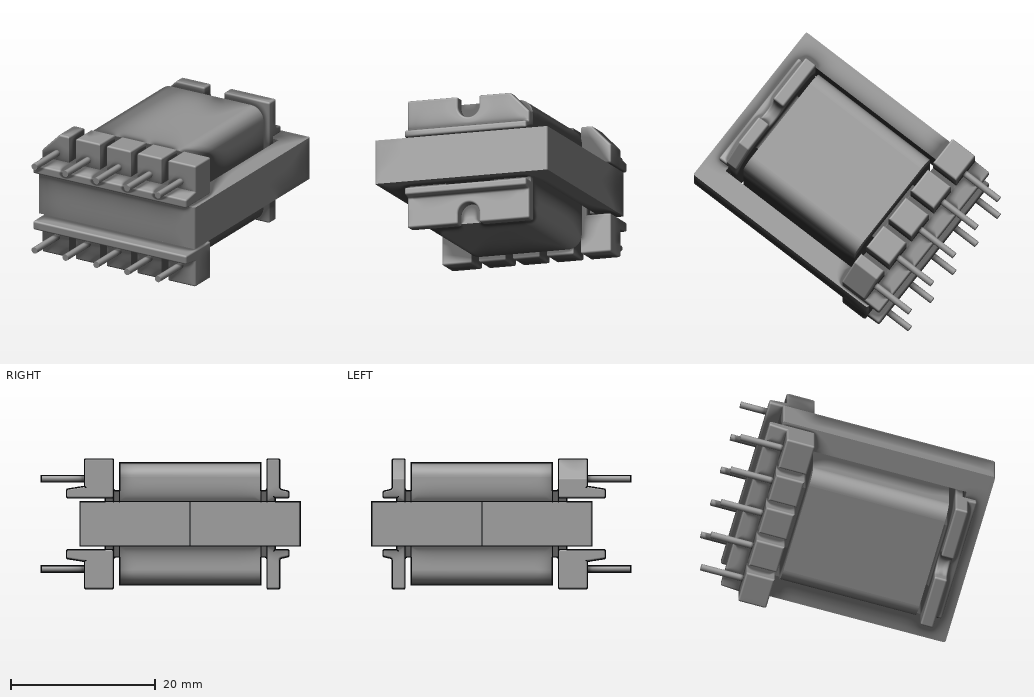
import cadquery as cq

edge_radius = 0.27
part_height = 18.0
half_height = part_height / 2

core_width = 25.4
core_height = 6.15
core_half_length = 15.25
leg_width = 3.15
yoke_thickness = 3.23
post_width = core_height

bore_half = 3.55
tube_half = 4.6
winding_half_width = 8.5
winding_half_height = 8.45
winding_half_length = 9.75
winding_radius = 2.0
flange_inner = 10.58
collar_end = 11.75
collar_half_width = 8.95
collar_overlap = 1.08

end_outer = 12.4
end_rail_tip = 13.65
end_rail_root_height = 4.8
end_rail_tip_height = 4.5
notch_radius = 1.58
notch_straight = 1.35

pin_bar_half_width = 12.45
pin_bar_outer = 14.63
pin_rail_tip = 17.1
pin_rail_root_height = 5.2
pin_rail_tip_height = 4.8
groove_width = 1.1
corner_cut = 2.8

pin_count = 5
pin_row_length = 20.0
pin_pitch = pin_row_length / (pin_count - 1)
pin_radius = 0.45
pin_height = 6.25
pin_tip = 20.6
pin_embed = 1.8

part_length = core_half_length + pin_tip
select_margin = 0.05
tube_overlap = 0.35


def centred_box(half_x, y_start, y_end, half_z):
    """Box centred on the Y axis between two Y positions."""
    return cq.Workplane("XY").box(
        2 * half_x, y_end - y_start, 2 * half_z, centered=(True, False, True)
    ).translate((0, y_start, 0))


def row_positions(count):
    """X positions of `count` items at the pin pitch, centred on X = 0."""
    return [(index - (count - 1) / 2) * pin_pitch for index in range(count)]


def core_half():
    """E-shaped half core on the +Y side of the joint."""
    outer = centred_box(core_width / 2, 0, core_half_length, core_height / 2)
    outer = outer.faces(">Y").edges("|Z").fillet(edge_radius)
    yoke_face = core_half_length - yoke_thickness
    window = centred_box(core_width / 2 - leg_width, 0, yoke_face, core_height)
    post = centred_box(post_width / 2, 0, yoke_face, core_height / 2)
    return outer.cut(window).union(post)


def rail_bar(half_width, outer, rail_tip, root_height, tip_height):
    """Bar on the +Z side with a sloping rail along its outer foot, drawn towards +Y."""
    return (
        cq.Workplane("YZ")
        .polyline([
            (flange_inner, bore_half),
            (rail_tip, bore_half),
            (rail_tip, tip_height),
            (outer, root_height),
            (outer, half_height),
            (flange_inner, half_height),
        ])
        .close()
        .extrude(half_width, both=True)
    )


def cut_first_pin_corner(bar, half_width):
    """Remove the 45 degree corner at -X, +Z."""
    corner = (
        cq.Workplane("XZ")
        .polyline([
            (-half_width, half_height),
            (-half_width + corner_cut, half_height),
            (-half_width, half_height - corner_cut),
        ])
        .close()
        .extrude(part_length, both=True)
    )
    return bar.cut(corner)


def collar(outer_edges_rounded):
    """Square frame of a flange inside the core window, drawn towards +Y."""
    frame = centred_box(collar_half_width, flange_inner, collar_end, bore_half + collar_overlap)
    edges = "|Z" if outer_edges_rounded else "|Z and <Y"
    return frame.edges(edges).fillet(edge_radius)


def end_bar(first_pin_side):
    """Bar of the end flange, with a rounded wire notch in the middle."""
    bar = rail_bar(
        collar_half_width, end_outer, end_rail_tip, end_rail_root_height, end_rail_tip_height
    )
    if first_pin_side:
        bar = cut_first_pin_corner(bar, collar_half_width)
    notch_centre = half_height - notch_straight
    notch = (
        cq.Workplane("XZ")
        .moveTo(-notch_radius, half_height)
        .lineTo(-notch_radius, notch_centre)
        .threePointArc((0, notch_centre - notch_radius), (notch_radius, notch_centre))
        .lineTo(notch_radius, half_height)
        .close()
        .extrude(-end_rail_tip)
    )
    return bar.cut(notch).edges().fillet(edge_radius)


def pin_bar(first_pin_side):
    """Bar of the pin flange, split into one block per pin by wire grooves."""
    bar = rail_bar(
        pin_bar_half_width, pin_bar_outer, pin_rail_tip, pin_rail_root_height, pin_rail_tip_height
    ).mirror("XZ")
    if first_pin_side:
        bar = cut_first_pin_corner(bar, pin_bar_half_width)
    groove_positions = row_positions(pin_count - 1)
    for groove_x in groove_positions:
        groove = cq.Workplane("XY").box(
            groove_width, 2 * pin_rail_tip, half_height, centered=(True, True, False)
        ).translate((groove_x, 0, pin_rail_root_height))
        bar = bar.cut(groove)

    groove_reach = groove_positions[-1] + groove_width / 2 + select_margin
    foot_reach = pin_bar_half_width - select_margin
    floor = pin_rail_root_height - select_margin
    outer_y = -pin_bar_outer - select_margin
    groove_edges = cq.selectors.BoxSelector(
        (-groove_reach, outer_y, floor),
        (groove_reach, -flange_inner + select_margin, half_height - select_margin),
    )
    foot_edges = cq.selectors.BoxSelector(
        (-foot_reach, outer_y, floor),
        (foot_reach, -pin_bar_outer + select_margin, pin_rail_root_height + select_margin),
    )
    every_edge = cq.selectors.BoxSelector(
        (-part_length, -part_length, -part_length), (part_length, part_length, part_length)
    )
    return bar.edges(every_edge - groove_edges - foot_edges).fillet(edge_radius)


def pin(x):
    """Round pin on the +Z side, standing out of the bar towards -Y."""
    return (
        cq.Workplane("XZ", origin=(x, -pin_bar_outer + pin_embed, pin_height))
        .circle(pin_radius)
        .extrude(pin_tip - pin_bar_outer + pin_embed)
    )


def round_tube_corners(bobbin):
    """Round the inner corners where the tube meets the two flanges."""
    reach = tube_half + select_margin
    for side in (-1, 1):
        y = side * flange_inner
        around_tube = cq.selectors.BoxSelector(
            (-reach, y - select_margin, -reach), (reach, y + select_margin, reach)
        )
        bobbin = bobbin.edges(around_tube).fillet(edge_radius)
    return bobbin


def bobbin_half(first_pin_side):
    """Both bars and the row of pins on the +Z side of the bobbin."""
    half = end_bar(first_pin_side).union(pin_bar(first_pin_side))
    for pin_x in row_positions(pin_count):
        half = half.union(pin(pin_x))
    return half


def wound_bobbin():
    """Bobbin with its winding and pins as one solid."""
    tube_end = flange_inner + tube_overlap
    body = centred_box(tube_half, -tube_end, tube_end, tube_half)
    body = body.union(collar(outer_edges_rounded=True))
    body = body.union(collar(outer_edges_rounded=False).mirror("XZ"))
    body = body.union(bobbin_half(first_pin_side=True))
    body = body.union(bobbin_half(first_pin_side=False).mirror("XY"))
    body = round_tube_corners(body)
    winding = (
        cq.Workplane("XZ", origin=(0, winding_half_length, 0))
        .rect(2 * winding_half_width, 2 * winding_half_height)
        .extrude(2 * winding_half_length)
        .edges("|Y")
        .fillet(winding_radius)
    )
    bore = centred_box(bore_half, -core_half_length, core_half_length, bore_half)
    return body.union(winding).cut(bore)


core_back = core_half()
core_front = core_back.mirror("XZ")
bobbin = wound_bobbin()

result = cq.Compound.makeCompound([core_back.val(), core_front.val(), bobbin.val()])